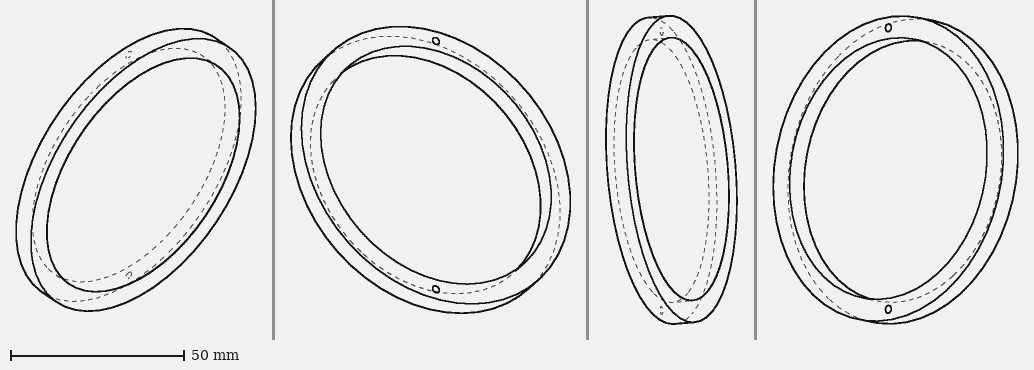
import cadquery as cq
import math

ring_diameter = 88.9
ring_width = 6.3
bore_diameter = 76.2

disc_thickness = 0.1

dimple_diameter = 2.2
dimple_cone_angle = 118.0
dimple_depth = dimple_diameter / 2 / math.tan(math.radians(dimple_cone_angle / 2))
dimple_circle_diameter = (ring_diameter + bore_diameter) / 2

front_x = -ring_width / 2
back_x = ring_width / 2


def make_dimple():
    """Cone along +X, with its base circle centred on the origin."""
    return cq.Workplane(cq.Solid.makeCone(dimple_diameter / 2, 0, dimple_depth, dir=cq.Vector(1, 0, 0)))


def make_ring():
    """Plain ring with one conical dimple at the top and one at the bottom."""
    ring = (
        cq.Workplane("YZ", origin=(front_x, 0, 0))
        .circle(ring_diameter / 2)
        .circle(bore_diameter / 2)
        .extrude(ring_width)
    )
    for side in (1, -1):
        dimple_z = side * dimple_circle_diameter / 2
        ring = ring.cut(make_dimple().translate((front_x, 0, dimple_z)))
    return ring


def make_disc():
    """Thin disc filling the bore, flush with the back of the ring."""
    return (
        cq.Workplane("YZ", origin=(back_x - disc_thickness, 0, 0))
        .circle(bore_diameter / 2)
        .extrude(disc_thickness)
    )


ring = make_ring()
disc = make_disc()

result = cq.Compound.makeCompound([ring.val(), disc.val()])